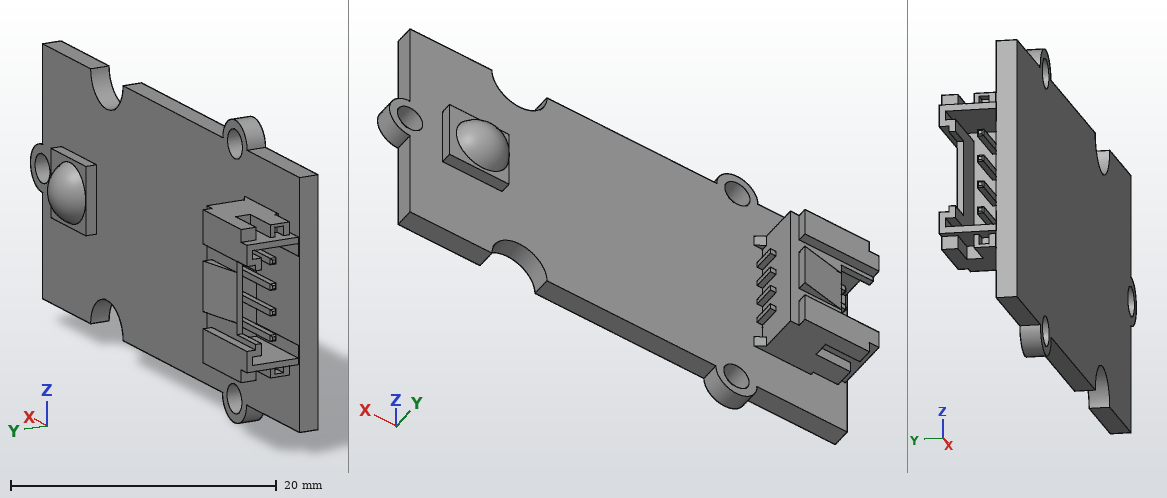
import cadquery as cq
import math

OVERALL_LENGTH = 41.9
BOARD_LENGTH = 40.0
BOARD_WIDTH = 20.03
BOARD_THICKNESS = 1.6
LUG_RADIUS = OVERALL_LENGTH - BOARD_LENGTH
LUG_HOLE_DIAMETER = 2.3
LOWER_LUG_X = 10.15
UPPER_LUG_X = 10.05
END_LUG_Z = 0.2
NOTCH_RADIUS = 2.5
NOTCH_X = 30.0

LED_X = 34.3
LED_SIDE = 5.45
LED_BASE_HEIGHT = 0.92
LENS_X = 34.02
LENS_RADIUS = 2.4
LENS_HEIGHT = 1.6

TOP_Y = 6.05
CONNECTOR_Z = 0.3
FRONT_X = 0.15
REAR_X = 7.75
HOUSING_WIDTH = 10.0
WALL = 0.5
REAR_WALL = 1.0
REAR_STEP_LENGTH = 0.8
LATCH_DEPTH = 0.75
LATCH_WIDTH = 6.65
LATCH_ROOF_X = 3.1
LATCH_MOUTH_WIDTH = 5.8
RAMP_WIDTH = 4.0
EMBED_DEPTH = 0.25
FOOT_DEPTH = 0.5
FOOT_WIDTH = 1.0

FLANGE_THICKNESS = 1.0
FLANGE_FRONT_X = 1.05
FORK_END_X = 4.2
FORK_TOP_Y = 4.78
FORK_BOTTOM_Y = 3.5
UNDERCUT_Y = 1.9
UNDERCUT_END_X = 3.3
HEEL_TOP_Y = 2.1
HEEL_END_X = 8.55
POCKET_WIDTH = 0.75
POCKET_BOTTOM_Y = 2.4
POCKET_TOP_Y = 3.15
POCKET_DEPTH = 1.0

PIN_COUNT = 4
PIN_PITCH = 2.0
PIN_SIZE = 0.5
PIN_TIP_CHAMFER = 0.13
PIN_Y = 3.1
PIN_FRONT_X = 1.25

HALF_WIDTH = HOUSING_WIDTH / 2
STEP_X = REAR_X - REAR_STEP_LENGTH
LATCH_Y = TOP_Y - LATCH_DEPTH
CAVITY_END_X = REAR_X - REAR_WALL


def block(x_range, y_range, z_range):
    """Box between the given pairs of limits."""
    (x0, x1), (y0, y1), (z0, z1) = x_range, y_range, z_range
    return cq.Workplane("XY").box(x1 - x0, y1 - y0, z1 - z0, centered=False).translate((x0, y0, z0))


def centred_block(x_range, y_range, width):
    """Box that is symmetric about the XY plane."""
    return block(x_range, y_range, (-width / 2, width / 2))


def prism(points, z_range):
    """Outline in XY, extruded between two Z limits."""
    z0, z1 = z_range
    return cq.Workplane("XY").workplane(offset=z0).polyline(points).close().extrude(z1 - z0)


def post(x, z, radius):
    """Round post through the board's thickness."""
    return cq.Workplane("XZ").center(x, z).circle(radius).extrude(-BOARD_THICKNESS)


def make_led():
    """Square base with a spherical-cap lens on it."""
    base_top = BOARD_THICKNESS + LED_BASE_HEIGHT
    base_x = (LED_X - LED_SIDE / 2, LED_X + LED_SIDE / 2)
    base = centred_block(base_x, (BOARD_THICKNESS, base_top), LED_SIDE)
    sphere_radius = (LENS_RADIUS**2 + LENS_HEIGHT**2) / (2 * LENS_HEIGHT)
    half_angle = math.asin(LENS_RADIUS / sphere_radius) / 2
    mid_arc = (
        sphere_radius * math.sin(half_angle),
        LENS_HEIGHT - sphere_radius * (1 - math.cos(half_angle)),
    )
    lens = (
        cq.Workplane("XY")
        .lineTo(LENS_RADIUS, 0)
        .threePointArc(mid_arc, (0, LENS_HEIGHT))
        .close()
        .revolve(360, (0, 0), (0, 1))
        .translate((LENS_X, base_top, 0))
    )
    return base.union(lens)


def make_board(connector_seat):
    """Board with three drilled lugs, two edge notches, the connector seat and the diode."""
    edge_z = BOARD_WIDTH / 2
    lug_centres = [(UPPER_LUG_X, edge_z), (LOWER_LUG_X, -edge_z), (BOARD_LENGTH, END_LUG_Z)]
    board = centred_block((0, BOARD_LENGTH), (0, BOARD_THICKNESS), BOARD_WIDTH)
    for x, z in lug_centres:
        board = board.union(post(x, z, LUG_RADIUS))
    for x, z in lug_centres:
        board = board.cut(post(x, z, LUG_HOLE_DIAMETER / 2))
    for z in (edge_z, -edge_z):
        board = board.cut(post(NOTCH_X, z, NOTCH_RADIUS))
    return board.cut(connector_seat).union(make_led())


def make_connector_base():
    """Bottom edges of the two side walls and the feet beside them, sunk into the board."""
    length = (FRONT_X, REAR_X)
    inner_z = HALF_WIDTH - WALL
    edge = block(length, (BOARD_THICKNESS - EMBED_DEPTH, BOARD_THICKNESS), (inner_z, HALF_WIDTH))
    foot_y = (BOARD_THICKNESS - FOOT_DEPTH, BOARD_THICKNESS)
    foot = block(length, foot_y, (inner_z - FOOT_WIDTH, inner_z))
    rail = edge.union(foot)
    return rail.add(rail.mirror("XY")).combine()


def make_shell():
    """Open-fronted housing with a latch channel along its roof."""
    profile = [
        (FRONT_X, BOARD_THICKNESS),
        (FRONT_X, TOP_Y),
        (STEP_X, TOP_Y),
        (STEP_X, LATCH_Y),
        (REAR_X, LATCH_Y),
        (REAR_X, BOARD_THICKNESS),
    ]
    shell = prism(profile, (-HALF_WIDTH, HALF_WIDTH))
    shell = shell.cut(centred_block((FRONT_X, REAR_X), (LATCH_Y, TOP_Y), LATCH_WIDTH))

    cavity_x = (FRONT_X, CAVITY_END_X)
    cavity_z = HALF_WIDTH - WALL
    shell = shell.cut(centred_block(cavity_x, (BOARD_THICKNESS, LATCH_Y - WALL), 2 * cavity_z))
    slot = block(cavity_x, (LATCH_Y - WALL, TOP_Y - WALL), (LATCH_WIDTH / 2 + WALL, cavity_z))
    shell = shell.cut(slot).cut(slot.mirror("XY"))

    mouth = centred_block((FRONT_X, LATCH_ROOF_X), (LATCH_Y - WALL, LATCH_Y), LATCH_MOUTH_WIDTH)
    ramp_outline = [(LATCH_ROOF_X, LATCH_Y), (STEP_X, LATCH_Y), (STEP_X, TOP_Y)]
    ramp = prism(ramp_outline, (-RAMP_WIDTH / 2, RAMP_WIDTH / 2))
    return shell.cut(mouth).union(ramp)


def make_flange():
    """Forked flange on the +Z side of the housing, with a pocket in its lower prong."""
    outline = [
        (FLANGE_FRONT_X, TOP_Y),
        (STEP_X, TOP_Y),
        (STEP_X, LATCH_Y),
        (REAR_X, LATCH_Y),
        (REAR_X, HEEL_TOP_Y),
        (HEEL_END_X, BOARD_THICKNESS),
        (UNDERCUT_END_X, BOARD_THICKNESS),
        (UNDERCUT_END_X, UNDERCUT_Y),
        (FLANGE_FRONT_X, UNDERCUT_Y),
        (FLANGE_FRONT_X, FORK_BOTTOM_Y),
        (FORK_END_X, FORK_BOTTOM_Y),
        (FORK_END_X, FORK_TOP_Y),
        (FLANGE_FRONT_X, FORK_TOP_Y),
    ]
    flange = prism(outline, (HALF_WIDTH, HALF_WIDTH + FLANGE_THICKNESS))
    pocket = block(
        (FLANGE_FRONT_X, FLANGE_FRONT_X + POCKET_DEPTH),
        (POCKET_BOTTOM_Y, POCKET_TOP_Y),
        (HALF_WIDTH, HALF_WIDTH + POCKET_WIDTH),
    )
    return flange.cut(pocket)


def make_pin(z):
    """Square pin with a bevelled tip; it passes through the rear wall and bends to the board."""
    half = PIN_SIZE / 2
    outline = [
        (PIN_FRONT_X, PIN_Y - half),
        (PIN_FRONT_X, PIN_Y + half),
        (REAR_X + PIN_SIZE, PIN_Y + half),
        (REAR_X + PIN_SIZE, BOARD_THICKNESS),
        (REAR_X, BOARD_THICKNESS),
        (REAR_X, PIN_Y - half),
    ]
    pin = prism(outline, (z - half, z + half))
    return pin.faces("<X").chamfer(PIN_TIP_CHAMFER)


def make_connector(base):
    """Shell, base, two mirrored flanges and the row of pins as one solid."""
    flange = make_flange()
    connector = make_shell().union(base).union(flange).union(flange.mirror("XY"))
    for i in range(PIN_COUNT):
        connector = connector.union(make_pin((i - (PIN_COUNT - 1) / 2) * PIN_PITCH))
    return connector


connector_offset = (0, 0, CONNECTOR_Z)
connector_base = make_connector_base()
connector = make_connector(connector_base).translate(connector_offset)
board = make_board(connector_base.translate(connector_offset))

result = cq.Compound.makeCompound([*board.solids().vals(), *connector.solids().vals()])